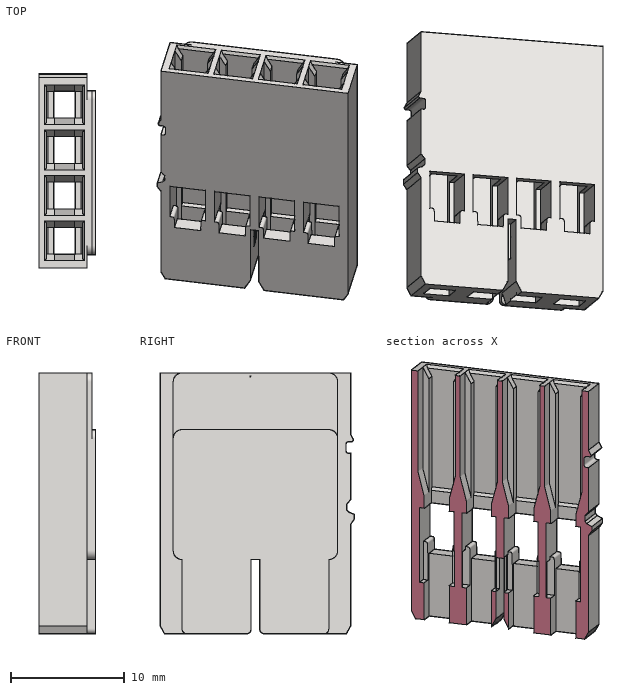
import cadquery as cq
import math

ARC_MIDDLE = 1 - math.sqrt(0.5)

HEIGHT = 23.0
BODY_DEPTH = 4.25
BODY_WIDTH = 16.81
HALF_WIDTH = BODY_WIDTH / 2
FOOT_CHAMFER_Y = 0.4
FOOT_CHAMFER_Z = 0.71

UPPER_NUB_TOP = 17.57
UPPER_NUB_OUT = 0.25
UPPER_NUB_TIP = 17.1
UPPER_NUB_BASE = 16.93
UPPER_NOTCH_DEPTH = 0.41
UPPER_NOTCH_BASE = 15.95
NOTCH_RADIUS = 0.2
LOWER_NOTCH_TOP = 11.85
LOWER_NOTCH_DEPTH = 0.35
LOWER_NOTCH_KNEE = 11.43
LOWER_NOTCH_FOOT = 10.92
LOWER_NOTCH_BASE = 10.75
LOWER_NUB_OUT = 0.32
LOWER_NUB_TOP = 10.53
LOWER_NUB_TIP = 10.12
LOWER_NUB_BASE = 9.65

CELL_COUNT = 4
CELL_PITCH = 4.0
CELL_CENTERS = [(i - (CELL_COUNT - 1) / 2) * CELL_PITCH for i in range(CELL_COUNT)]
CELL_X = 2.25
MOUTH_X = 3.52
MOUTH_Y = 3.5
STEP_X = 0.15
GROOVE_X = 1.72
BORE_X = 1.89
BORE_Y = 2.35
LEAD_SLOPE = math.tan(math.radians(60))
GROOVE_SLOPE = math.tan(math.radians(75))
CAVITY_X = MOUTH_X - 2 * STEP_X
CHAMBER_X = CAVITY_X - 2 * STEP_X
GROOVE_FOOT = 11.5

WINDOW_TOP = 10.33
WINDOW_SHOULDER = 6.97
WINDOW_SILL = 5.82
WINDOW_WIDTH = 3.2
WINDOW_BACK = CELL_X + GROOVE_X / 2
SILL_WIDTH = 2.35
SILL_TOP_WIDTH = 2.4
SHOULDER_DEPTH = 1.65
SHOULDER_RADIUS = 0.2
CHAMBER_FLOOR = 3.45

PASSAGE_X = 0.75
PASSAGE_TOP = 6.7
PASSAGE_RELIEF = 0.07

SLOT_WIDTH = 0.74
SLOT_TOP = 6.55
SLOT_CHAMFER_Y = 0.5
SLOT_CHAMFER_Z = 0.92
LEG_ROUND = 0.44
WEDGE_HEIGHT = 0.62

PLATE_HALF_WIDTH = 7.25
PLATE_OUTER_X = 5.0
PLATE_STEP_X = 4.7
PLATE_STEP_Z = 18.0
PLATE_CORNER = 0.78
LEG_HALF_WIDTH = PLATE_HALF_WIDTH - PLATE_CORNER


def box(x0, x1, y0, y1, z0, z1):
    """Box between two opposite corners."""
    return cq.Workplane("XY").box(x1 - x0, y1 - y0, z1 - z0, centered=False).translate((x0, y0, z0))


def centered_box(size_x, size_y, center_y, z0, z1):
    """Box on the cell axis in X."""
    return box(CELL_X - size_x / 2, CELL_X + size_x / 2, center_y - size_y / 2, center_y + size_y / 2, z0, z1)


def funnel(size_x0, size_y0, z0, size_x1, size_y1, z1, center_y):
    """Four-sided taper on a cell axis between two rectangles."""
    return (
        cq.Workplane("XY", origin=(CELL_X, center_y, z0))
        .rect(size_x0, size_y0)
        .workplane(offset=z1 - z0)
        .rect(size_x1, size_y1)
        .loft(ruled=True)
    )


def make_body():
    """Slab with chamfered foot corners and two latch nubs on its +Y edge."""
    edge = HALF_WIDTH
    notch = edge - UPPER_NOTCH_DEPTH
    diag = NOTCH_RADIUS * ARC_MIDDLE
    outline = (
        cq.Workplane("YZ")
        .moveTo(-edge, HEIGHT)
        .lineTo(edge, HEIGHT)
        .lineTo(edge, UPPER_NUB_TOP)
        .lineTo(edge + UPPER_NUB_OUT, UPPER_NUB_TIP)
        .lineTo(edge + UPPER_NUB_OUT / 2, UPPER_NUB_BASE)
        .lineTo(notch + NOTCH_RADIUS, UPPER_NUB_BASE)
        .threePointArc((notch + diag, UPPER_NUB_BASE - diag), (notch, UPPER_NUB_BASE - NOTCH_RADIUS))
        .lineTo(notch, UPPER_NOTCH_BASE + NOTCH_RADIUS)
        .threePointArc((notch + diag, UPPER_NOTCH_BASE + diag), (notch + NOTCH_RADIUS, UPPER_NOTCH_BASE))
        .lineTo(edge, UPPER_NOTCH_BASE)
        .lineTo(edge, LOWER_NOTCH_TOP)
        .lineTo(edge - LOWER_NOTCH_DEPTH, LOWER_NOTCH_KNEE)
        .lineTo(edge - LOWER_NOTCH_DEPTH, LOWER_NOTCH_FOOT)
        .lineTo(edge - LOWER_NOTCH_DEPTH / 2, LOWER_NOTCH_BASE)
        .lineTo(edge + LOWER_NUB_OUT, LOWER_NUB_TOP)
        .lineTo(edge + LOWER_NUB_OUT, LOWER_NUB_TIP)
        .lineTo(edge, LOWER_NUB_BASE)
        .lineTo(edge, FOOT_CHAMFER_Z)
        .lineTo(edge - FOOT_CHAMFER_Y, 0)
        .lineTo(-edge + FOOT_CHAMFER_Y, 0)
        .lineTo(-edge, FOOT_CHAMFER_Z)
        .close()
    )
    return outline.extrude(BODY_DEPTH)


def make_plate_layer(x0, x1, top):
    """Rounded plate that steps in to a narrower leg below the slot top."""
    upper = box(x0, x1, -PLATE_HALF_WIDTH, PLATE_HALF_WIDTH, SLOT_TOP, top)
    upper = upper.edges("|X").fillet(PLATE_CORNER)
    lower = box(x0, x1, -LEG_HALF_WIDTH, LEG_HALF_WIDTH, 0, SLOT_TOP + PLATE_CORNER)
    lower = lower.edges("|X and <Z").fillet(LEG_ROUND)
    return upper.union(lower)


def make_cell(y):
    """Space for one contact: mouth, grooved cavity between corner ribs, and bore."""
    rib_inset = (MOUTH_Y - BORE_Y) / 2
    groove_top = GROOVE_FOOT + rib_inset * GROOVE_SLOPE
    step_top = GROOVE_FOOT + STEP_X * LEAD_SLOPE
    mouth_foot = HEIGHT - STEP_X * LEAD_SLOPE
    rib_top = HEIGHT - rib_inset * LEAD_SLOPE

    mouth = centered_box(CAVITY_X, MOUTH_Y, y, step_top, HEIGHT)
    mouth = mouth.union(funnel(MOUTH_X, MOUTH_Y, HEIGHT, CAVITY_X, MOUTH_Y, mouth_foot, y))
    mouth = mouth.intersect(funnel(MOUTH_X, MOUTH_Y, HEIGHT, MOUTH_X, BORE_Y, rib_top, y))

    pieces = [
        centered_box(CAVITY_X, BORE_Y, y, step_top, HEIGHT),
        funnel(CAVITY_X, BORE_Y, step_top, CHAMBER_X, BORE_Y, GROOVE_FOOT, y),
        centered_box(CHAMBER_X, BORE_Y, y, WINDOW_SILL, GROOVE_FOOT),
        centered_box(GROOVE_X, MOUTH_Y, y, groove_top, HEIGHT),
        funnel(GROOVE_X, MOUTH_Y, groove_top, GROOVE_X, BORE_Y, GROOVE_FOOT, y),
        centered_box(BORE_X, BORE_Y, y, 0, WINDOW_SILL),
    ]
    cell = mouth
    for piece in pieces:
        cell = cell.union(piece)
    return cell


def make_window(y):
    """Opening in the -X face with a narrower rounded-shoulder sill, and the pocket behind it."""
    half = WINDOW_WIDTH / 2
    wide = box(0, WINDOW_BACK, y - half, y + half, WINDOW_SHOULDER, WINDOW_TOP)
    top = SILL_TOP_WIDTH / 2
    r = SHOULDER_RADIUS
    diag = r * ARC_MIDDLE
    narrow = (
        cq.Workplane("YZ")
        .moveTo(y - SILL_WIDTH / 2, WINDOW_SILL)
        .lineTo(y + SILL_WIDTH / 2, WINDOW_SILL)
        .lineTo(y + top, WINDOW_SHOULDER - r)
        .threePointArc((y + top + diag, WINDOW_SHOULDER - diag), (y + top + r, WINDOW_SHOULDER))
        .lineTo(y - top - r, WINDOW_SHOULDER)
        .threePointArc((y - top - diag, WINDOW_SHOULDER - diag), (y - top, WINDOW_SHOULDER - r))
        .close()
        .extrude(SHOULDER_DEPTH)
    )
    pocket = box(SHOULDER_DEPTH, WINDOW_BACK, y - half, y + half, CHAMBER_FLOOR, WINDOW_SHOULDER)
    return wide.union(narrow).union(pocket)


def make_passage():
    """Gap through the dividers behind the sills."""
    x1 = SHOULDER_DEPTH + PASSAGE_X
    y = CELL_CENTERS[-1]
    passage = box(SHOULDER_DEPTH, x1, -y, y, CHAMBER_FLOOR, PASSAGE_TOP)
    half = WINDOW_WIDTH / 2 + PASSAGE_RELIEF
    for low in (CELL_CENTERS[0], CELL_CENTERS[-2]):
        relief = box(SHOULDER_DEPTH, WINDOW_BACK, low, low + half, CHAMBER_FLOOR, PASSAGE_TOP)
        passage = passage.union(relief)
    return passage


def make_slot():
    """Open slot between the two feet, flared in the body and rounded at the plate."""
    half = SLOT_WIDTH / 2
    slot = box(0, PLATE_OUTER_X, -half, half, 0, SLOT_TOP)
    bottom = half + SLOT_CHAMFER_Y
    flare = (
        cq.Workplane("YZ")
        .polyline([(-bottom, 0), (-half, SLOT_CHAMFER_Z), (half, SLOT_CHAMFER_Z), (bottom, 0)])
        .close()
        .extrude(PLATE_OUTER_X)
    )
    wedge = (
        cq.Workplane("XZ")
        .polyline(
            [
                (0, 0),
                (BODY_DEPTH + WEDGE_HEIGHT / LEAD_SLOPE, 0),
                (BODY_DEPTH, WEDGE_HEIGHT),
                (BODY_DEPTH, SLOT_CHAMFER_Z),
                (0, SLOT_CHAMFER_Z),
            ]
        )
        .close()
        .extrude(bottom, both=True)
    )
    r = LEG_ROUND
    rounding = box(0, PLATE_OUTER_X, -half - r, half + r, 0, r)
    for side in (-1, 1):
        rod = cq.Workplane("YZ").center(side * (half + r), r).circle(r).extrude(PLATE_OUTER_X)
        rounding = rounding.cut(rod)
    return slot.union(flare.intersect(wedge)).union(rounding)


result = make_body()
result = result.union(make_plate_layer(BODY_DEPTH, PLATE_STEP_X, HEIGHT))
result = result.union(make_plate_layer(PLATE_STEP_X, PLATE_OUTER_X, PLATE_STEP_Z))
for cell_y in CELL_CENTERS:
    result = result.cut(make_cell(cell_y))
    result = result.cut(make_window(cell_y))
result = result.cut(make_passage())
result = result.cut(make_slot())